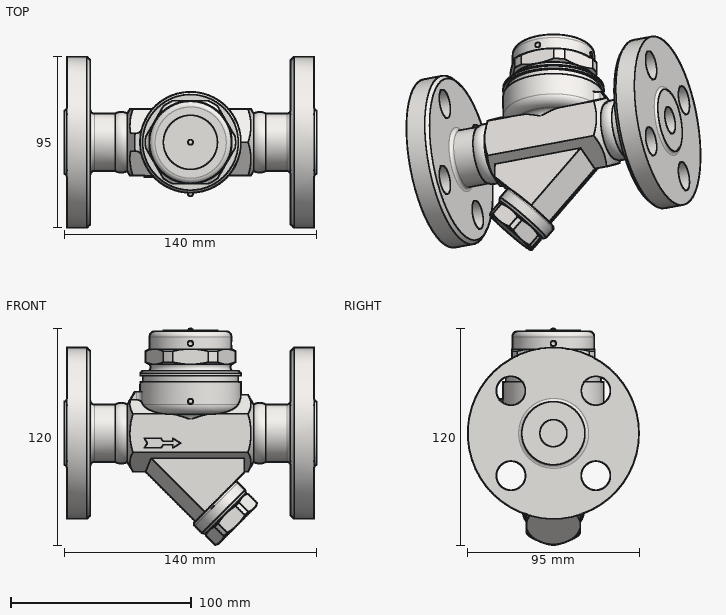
import cadquery as cq
import math


half_length = 70.0
bore_diameter = 15.0
bore_depth = 35.0
flange_diameter = 95.0
flange_outer_x = 68.5
flange_inner_x = 55.4
flange_chamfer = 2.0
raised_face_radius = 17.5
raised_face_base_radius = 19.4
raised_face_arc = 2.0
bolt_circle_diameter = 66.5
bolt_hole_diameter = 16.0
bolt_count = 4
first_bolt_angle = 45.0
pipe_radius = 16.0
pipe_fillet = 2.0
weld_bead_start_x = 41.7
weld_bead_radius = 16.9

hex_half_length = 35.0
hex_across_flats = 37.0
hex_end_cone_slope = math.tan(math.radians(60.0))

bowl_radius = 28.0
bowl_rim_z = 28.4
bowl_round_radius = 5.4
bowl_round_z = 16.0
bowl_root_radius = 18.45
bowl_root_fillet = 3.3
neck_radius = 26.5
cover_seat_z = 31.8
lug_width = 10.0
lug_top_z = 23.0
lug_fillet = 3.0
dot_diameter = 3.0
bowl_dot_z = 17.6
bowl_dot_y = -(bowl_radius + 0.5)

arrow_tail_x = -25.5
arrow_tip_x = -5.5
arrow_head_x = -9.7
arrow_shaft_x = -15.2
arrow_notch = 1.6
arrow_taper = 1.0
arrow_z = -5.5
arrow_half_width = 2.6
arrow_shaft_half_width = 1.0
arrow_height = 0.8

leg_angle = 45.0
leg_axis_x = -25.0
leg_across_flats = 26.0
leg_start = -8.0
leg_end = 36.5
web_end_x = 29.8
collar_diameter = 34.0
collar_round = 1.2
collar_end = 43.6
plug_neck_diameter = 32.0
plug_hex_start = 45.3
plug_hex_end = 54.3
plug_hex_across_flats = 30.0
plug_hex_corner_diameter = 33.0

cover_flange_radius = bowl_radius
cover_flange_top_z = 34.7
cover_flange_chamfer = 1.5
cover_neck_base_radius = 23.0
cover_neck_radius = 22.3
cover_neck_waist_z = 36.3
cover_neck_top_radius = 22.7
cover_hex_bottom_z = 38.2
cover_hex_top_z = 46.6
cover_hex_across_flats = 46.0
cover_hex_corner_diameter = 50.0
cap_radius = 45.5 / 2
cap_top_z = 56.5
cap_round = 3.0
top_disc_diameter = 30.0
top_disc_height = 0.5
top_dot_z = 58.04
dimple_z = 49.75
dimple_diameter = 3.0
dimple_count = 4

hex_corner_chamfer_slope = math.tan(math.radians(30))


def corner_radius(across_flats):
    return across_flats / math.sqrt(3)


def hexagon_points(across_flats):
    """Corners of a hexagon with two corners on its first axis."""
    radius = corner_radius(across_flats)
    angles = [math.radians(60 * i) for i in range(6)]
    return [(radius * math.cos(a), radius * math.sin(a)) for a in angles]


def hex_nut(across_flats, corner_diameter, bottom, top):
    """Hexagon along Z with its corners turned to a cylinder and chamfered at 30 degrees."""
    flat_radius = across_flats / 2
    turned_radius = corner_diameter / 2
    drop = (turned_radius - flat_radius) * hex_corner_chamfer_slope
    envelope = (
        cq.Workplane("XZ")
        .moveTo(0, bottom)
        .lineTo(flat_radius, bottom)
        .lineTo(turned_radius, bottom + drop)
        .lineTo(turned_radius, top - drop)
        .lineTo(flat_radius, top)
        .lineTo(0, top)
        .close()
        .revolve(360, (0, 0), (0, 1))
    )
    prism = (
        cq.Workplane("XY", origin=(0, 0, bottom))
        .polyline(hexagon_points(across_flats))
        .close()
        .extrude(top - bottom)
    )
    return prism.intersect(envelope)


def pipe_end():
    """Flange, pipe and weld bead on the +X side, before drilling."""
    return (
        cq.Workplane("XY")
        .moveTo(0, 0)
        .lineTo(0, pipe_radius)
        .lineTo(hex_half_length, pipe_radius)
        .threePointArc(
            ((hex_half_length + weld_bead_start_x) / 2, weld_bead_radius),
            (weld_bead_start_x, pipe_radius),
        )
        .lineTo(flange_inner_x - pipe_fillet, pipe_radius)
        .radiusArc((flange_inner_x, pipe_radius + pipe_fillet), -pipe_fillet)
        .lineTo(flange_inner_x, flange_diameter / 2 - flange_chamfer)
        .lineTo(flange_inner_x + flange_chamfer, flange_diameter / 2)
        .lineTo(flange_outer_x, flange_diameter / 2)
        .lineTo(flange_outer_x, raised_face_base_radius)
        .radiusArc((half_length, raised_face_radius), -raised_face_arc)
        .lineTo(half_length, 0)
        .close()
        .revolve(360, (0, 0), (1, 0))
    )


def pipe_end_holes():
    """Blind bore and bolt holes of the +X pipe end."""
    bore = (
        cq.Workplane("YZ", origin=(half_length, 0, 0))
        .circle(bore_diameter / 2)
        .extrude(-bore_depth)
    )
    bolts = (
        cq.Workplane("YZ", origin=(flange_inner_x, 0, 0))
        .polarArray(bolt_circle_diameter / 2, first_bolt_angle, 360, bolt_count)
        .circle(bolt_hole_diameter / 2)
        .extrude(half_length - flange_inner_x)
    )
    return bore.union(bolts)


def end_cone_envelope():
    """Double cone that trims the ends of the hexagon and of the lug."""
    widest = bowl_radius
    straight_x = hex_half_length - (widest - pipe_radius) / hex_end_cone_slope
    return (
        cq.Workplane("XY")
        .moveTo(-hex_half_length, 0)
        .lineTo(-hex_half_length, pipe_radius)
        .lineTo(-straight_x, widest)
        .lineTo(straight_x, widest)
        .lineTo(hex_half_length, pipe_radius)
        .lineTo(hex_half_length, 0)
        .close()
        .revolve(360, (0, 0), (1, 0))
    )


def lug():
    """Block between the left end of the hexagon and the bowl, flared where it meets the bowl."""
    half_width = lug_width / 2
    flare_y = half_width + lug_fillet
    reach = bowl_radius + lug_fillet
    flare_x = -math.sqrt(reach**2 - flare_y**2)
    touch_x = flare_x * bowl_radius / reach
    touch_y = flare_y * bowl_radius / reach
    return (
        cq.Workplane("XY")
        .moveTo(-hex_half_length, -half_width)
        .lineTo(flare_x, -half_width)
        .radiusArc((touch_x, -touch_y), lug_fillet)
        .lineTo(0, -touch_y)
        .lineTo(0, touch_y)
        .lineTo(touch_x, touch_y)
        .radiusArc((flare_x, half_width), lug_fillet)
        .lineTo(-hex_half_length, half_width)
        .close()
        .extrude(lug_top_z)
    )


def hex_centre():
    """Hexagonal bar along X with a corner on top and bottom, and the lug, both coned at the ends."""
    profile = [(y, z) for z, y in hexagon_points(hex_across_flats)]
    bar = (
        cq.Workplane("YZ", origin=(-hex_half_length, 0, 0))
        .polyline(profile)
        .close()
        .extrude(2 * hex_half_length)
    )
    return bar.union(lug()).intersect(end_cone_envelope())


def bowl():
    """Round bowl that flows into the hexagon, with the neck that carries the cover."""
    round_bottom_z = bowl_round_z - bowl_round_radius
    round_bottom_radius = bowl_radius - bowl_round_radius
    root_z = round_bottom_z - bowl_root_fillet
    shell = (
        cq.Workplane("XZ")
        .moveTo(0, root_z)
        .lineTo(bowl_root_radius, root_z)
        .radiusArc((bowl_root_radius + bowl_root_fillet, round_bottom_z), bowl_root_fillet)
        .lineTo(round_bottom_radius, round_bottom_z)
        .radiusArc((bowl_radius, bowl_round_z), -bowl_round_radius)
        .lineTo(bowl_radius, bowl_rim_z)
        .lineTo(neck_radius, bowl_rim_z)
        .lineTo(neck_radius, cover_seat_z)
        .lineTo(0, cover_seat_z)
        .close()
        .revolve(360, (0, 0), (0, 1))
    )
    dot = cq.Workplane("XY").sphere(dot_diameter / 2).translate((0, bowl_dot_y, bowl_dot_z))
    return shell.union(dot)


def flow_arrow():
    """Raised arrow on the front flat, pointing along the flow."""
    upper = [
        (arrow_tail_x, arrow_half_width),
        (arrow_shaft_x - arrow_taper, arrow_half_width),
        (arrow_shaft_x, arrow_shaft_half_width),
        (arrow_head_x, arrow_shaft_half_width),
        (arrow_head_x, arrow_half_width),
    ]
    lower = [(x, -z) for x, z in reversed(upper)]
    outline = [(arrow_tail_x + arrow_notch, 0)] + upper + [(arrow_tip_x, 0)] + lower
    return (
        cq.Workplane("XZ", origin=(0, -hex_across_flats / 2, arrow_z))
        .polyline(outline)
        .close()
        .extrude(arrow_height)
    )


def along_leg(shape):
    """Turns a shape built along Z onto the leg axis, its origin at the axis point nearest the body origin."""
    turned = shape.rotate((0, 0, 0), (0, 1, 0), 180 - leg_angle)
    return turned.translate((leg_axis_x / 2, 0, leg_axis_x / 2))


def leg():
    """Hexagonal strainer leg with the collar, tapered neck and hexagon of its plug."""
    bar = (
        cq.Workplane("XY", origin=(0, 0, leg_start))
        .polyline(hexagon_points(leg_across_flats))
        .close()
        .extrude(leg_end - leg_start)
    )
    collar_radius = collar_diameter / 2
    collar = (
        cq.Workplane("XY", origin=(0, 0, leg_end))
        .circle(collar_radius)
        .extrude(collar_end - leg_end)
        .faces("<Z")
        .edges()
        .fillet(collar_round)
    )
    neck = (
        cq.Workplane("XY", origin=(0, 0, collar_end))
        .circle(collar_radius)
        .workplane(offset=plug_hex_start - collar_end)
        .circle(plug_neck_diameter / 2)
        .loft(ruled=True)
    )
    nut = hex_nut(plug_hex_across_flats, plug_hex_corner_diameter, plug_hex_start, plug_hex_end)
    return along_leg(bar.union(collar).union(neck).union(nut))


def leg_web():
    """Flat-sided web that fills the corner between the leg and the hexagonal centre."""
    axis_end_x = (leg_axis_x + leg_end * math.sqrt(2)) / 2
    axis_end_z = leg_axis_x - axis_end_x
    web_end_z = axis_end_z + web_end_x - axis_end_x
    return (
        cq.Workplane("XZ")
        .polyline([(leg_axis_x, 0), (axis_end_x, axis_end_z), (web_end_x, web_end_z), (web_end_x, 0)])
        .close()
        .extrude(leg_across_flats / 2, both=True)
    )


def make_body():
    """Body: hexagonal centre, leg, bowl and two mirrored pipe ends, then the bores and bolt holes."""
    end = pipe_end()
    solid = hex_centre().union(leg_web()).union(leg())
    solid = solid.union(end).union(end.mirror("YZ"))
    solid = solid.union(bowl()).union(flow_arrow())
    holes = pipe_end_holes()
    return solid.cut(holes).cut(holes.mirror("YZ"))


def make_cover():
    """Cover: chamfered flange, waisted neck, hexagon and rounded cap with four dimples."""
    flange = (
        cq.Workplane("XZ")
        .moveTo(0, cover_seat_z)
        .lineTo(cover_flange_radius, cover_seat_z)
        .lineTo(cover_flange_radius, cover_flange_top_z - cover_flange_chamfer)
        .lineTo(cover_flange_radius - cover_flange_chamfer, cover_flange_top_z)
        .lineTo(cover_neck_base_radius, cover_flange_top_z)
        .threePointArc((cover_neck_radius, cover_neck_waist_z), (cover_neck_top_radius, cover_hex_bottom_z))
        .lineTo(0, cover_hex_bottom_z)
        .close()
        .revolve(360, (0, 0), (0, 1))
    )
    nut = hex_nut(
        cover_hex_across_flats, cover_hex_corner_diameter, cover_hex_bottom_z, cover_hex_top_z
    )
    cap = (
        cq.Workplane("XY", origin=(0, 0, cover_hex_top_z))
        .circle(cap_radius)
        .extrude(cap_top_z - cover_hex_top_z)
        .faces(">Z")
        .edges()
        .fillet(cap_round)
    )
    disc = (
        cq.Workplane("XY", origin=(0, 0, cap_top_z))
        .circle(top_disc_diameter / 2)
        .extrude(top_disc_height)
    )
    dot_radius = dot_diameter / 2
    dot = cq.Workplane("XY").sphere(dot_radius).translate((0, 0, top_dot_z - dot_radius))
    solid = flange.union(nut).union(cap).union(disc).union(dot)
    dimple = cq.Workplane("XY").sphere(dimple_diameter / 2).translate((cap_radius, 0, dimple_z))
    for i in range(dimple_count):
        solid = solid.cut(dimple.rotate((0, 0, 0), (0, 0, 1), i * 360 / dimple_count))
    return solid


body = make_body()
cover = make_cover()
result = cq.Compound.makeCompound([body.val(), cover.val()])